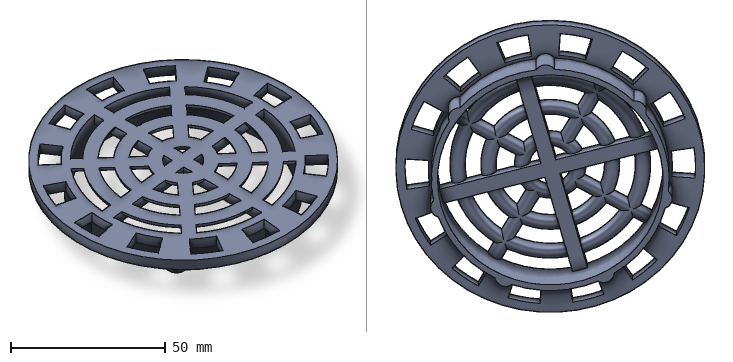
import cadquery as cq
import math

plate_diameter = 100.0
plate_thickness = 4.0

collar_depth = 10.0
collar_inner_radius = 36.5
collar_wall = 2.0
collar_outer_radius = collar_inner_radius + collar_wall
rib_count = 7
rib_radius = 3.5

bar_width = 5.0
bar_radius = bar_width / 2
bar_end_overlap = 1.0
bar_length = 2 * (collar_inner_radius + bar_end_overlap)
ring_radii = [9.125, 20.0, 30.0]
hub_radius = ring_radii[0]
diagonal_angles = (45, 135, 225, 315)

window_count = 14
window_inner_radius = 39.5
window_outer_radius = 47.0
window_pitch = 360.0 / window_count
window_span = window_pitch / 2
first_window_angle = 90.0


def disc(radius, bottom, height):
    """Solid disc on the Z axis, starting at the given level."""
    return cq.Workplane("XY").workplane(offset=bottom).circle(radius).extrude(height)


def polar(radius, angle):
    """XY point at a radius and an angle in degrees."""
    return radius * math.cos(math.radians(angle)), radius * math.sin(math.radians(angle))


def flat_bar(angle):
    """Rectangular bar of full plate thickness across the grate at the given angle."""
    bar = cq.Workplane("XY").box(bar_length, bar_width, plate_thickness, centered=(True, True, False))
    return bar.rotate((0, 0, 0), (0, 0, 1), angle)


def half_round_profile(plane, centre):
    """Half disc with its flat side in the top face and its round side below."""
    return (
        cq.Workplane(plane)
        .moveTo(centre - bar_radius, plate_thickness)
        .threePointArc((centre, plate_thickness - bar_radius), (centre + bar_radius, plate_thickness))
        .close()
    )


def half_round_spoke(angle):
    """Half-round bar from the hub ring out into the rim at the given angle."""
    spoke = half_round_profile("YZ", 0).extrude(bar_length / 2 - hub_radius)
    return spoke.translate((hub_radius, 0, 0)).rotate((0, 0, 0), (0, 0, 1), angle)


def half_round_ring(radius):
    """Half-round ring about the Z axis."""
    return half_round_profile("XZ", radius).revolve(360, (0, 0, 0), (0, 1, 0))


def grate():
    """Flat cross along X and Y, half-round diagonal spokes and half-round rings."""
    bars = flat_bar(0).union(flat_bar(90))
    for angle in diagonal_angles:
        bars = bars.union(half_round_spoke(angle))
    for radius in ring_radii:
        bars = bars.union(half_round_ring(radius))
    return bars


def rim_window(angle):
    """Cutter for one window with radial sides and arc ends, centred on the given angle."""
    start = angle - window_span / 2
    end = angle + window_span / 2
    return (
        cq.Workplane("XY")
        .moveTo(*polar(window_inner_radius, start))
        .lineTo(*polar(window_outer_radius, start))
        .threePointArc(polar(window_outer_radius, angle), polar(window_outer_radius, end))
        .lineTo(*polar(window_inner_radius, end))
        .threePointArc(polar(window_inner_radius, angle), polar(window_inner_radius, start))
        .close()
        .extrude(plate_thickness)
    )


def ribbed_collar():
    """Thin collar with round ribs down its outer face, centred on the bore radius."""
    collar = disc(collar_outer_radius, -collar_depth, collar_depth)
    ribs = (
        cq.Workplane("XY")
        .workplane(offset=-collar_depth)
        .polarArray(collar_inner_radius, 0, 360, rib_count)
        .circle(rib_radius)
        .extrude(collar_depth)
    )
    return collar.union(ribs).cut(disc(collar_inner_radius, -collar_depth, collar_depth))


rim = disc(plate_diameter / 2, 0, plate_thickness).cut(disc(collar_inner_radius, 0, plate_thickness))
cover = rim.union(grate())
for index in range(window_count):
    cover = cover.cut(rim_window(first_window_angle + index * window_pitch))

result = cover.union(ribbed_collar())